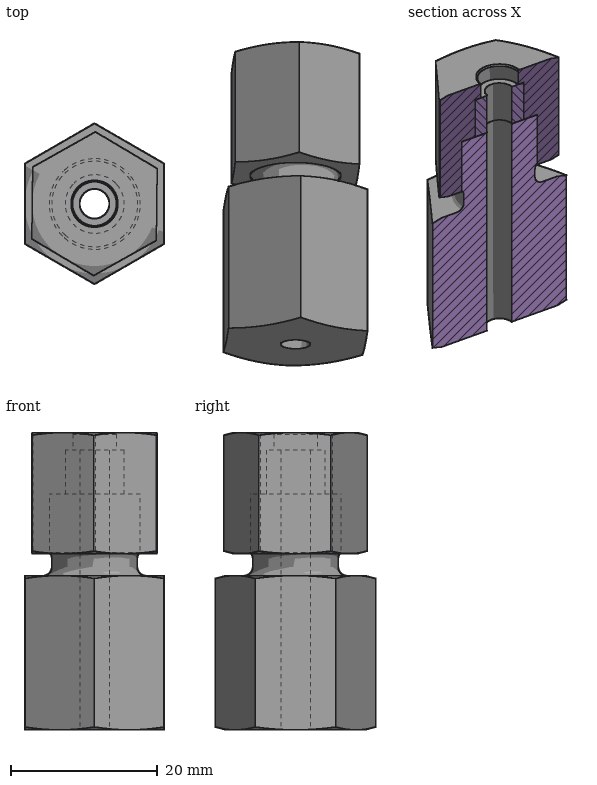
import cadquery as cq
import math

total_height = 40.5
body_hex_height = 21.0
nut_bottom = 24.0
body_hex_width = 19.0
nut_hex_width = 16.95
nut_turn = -0.7
corner_chamfer_angle = 15.0

neck_end_diameter = 12.4
groove_diameter = 11.7
groove_foot_diameter = 14.0
groove_radius = (groove_foot_diameter - groove_diameter) / 2
groove_straight_top = 23.35

through_diameter = 4.0
tube_diameter = 6.0
nut_mouth_diameter = 6.4

ferrule_diameter = 8.0
ferrule_top = 38.2
ferrule_height = 6.0
ferrule_bottom = ferrule_top - ferrule_height


def cylinder(diameter, bottom, top):
    return cq.Workplane("XY").workplane(offset=bottom).circle(diameter / 2).extrude(top - bottom)


def chamfered_hexagon(width, bottom, top):
    """Hexagon with corners on the Y axis, its corners turned off by a cone at both ends."""
    flat_radius = width / 2
    corner_radius = width / math.sqrt(3)
    drop = (corner_radius - flat_radius) * math.tan(math.radians(corner_chamfer_angle))
    hexagon = (
        cq.Workplane("XY")
        .workplane(offset=bottom)
        .polygon(6, 2 * corner_radius)
        .extrude(top - bottom)
        .rotate((0, 0, 0), (0, 0, 1), 30)
    )
    turned_blank = (
        cq.Workplane("XZ")
        .moveTo(0, bottom)
        .lineTo(flat_radius, bottom)
        .lineTo(corner_radius, bottom + drop)
        .lineTo(corner_radius, top - drop)
        .lineTo(flat_radius, top)
        .lineTo(0, top)
        .close()
        .revolve(360, (0, 0, 0), (0, 1, 0))
    )
    return hexagon.intersect(turned_blank)


def make_body():
    groove_floor = groove_diameter / 2
    end_radius = neck_end_diameter / 2
    shoulder_step = end_radius - groove_floor
    shoulder_rise = math.sqrt(groove_radius**2 - (groove_radius - shoulder_step) ** 2)
    neck = (
        cq.Workplane("XZ")
        .moveTo(0, body_hex_height)
        .lineTo(groove_foot_diameter / 2, body_hex_height)
        .radiusArc((groove_floor, body_hex_height + groove_radius), groove_radius)
        .lineTo(groove_floor, groove_straight_top)
        .radiusArc((end_radius, groove_straight_top + shoulder_rise), groove_radius)
        .lineTo(end_radius, ferrule_bottom)
        .lineTo(0, ferrule_bottom)
        .close()
        .revolve(360, (0, 0, 0), (0, 1, 0))
    )
    body = chamfered_hexagon(body_hex_width, 0, body_hex_height).union(neck)
    return body.cut(cylinder(through_diameter, 0, ferrule_bottom))


def make_ferrule():
    ring = cylinder(ferrule_diameter, ferrule_bottom, ferrule_top)
    return ring.cut(cylinder(through_diameter, ferrule_bottom, ferrule_top))


def make_nut():
    nut = chamfered_hexagon(nut_hex_width, nut_bottom, total_height)
    nut = nut.rotate((0, 0, 0), (0, 0, 1), nut_turn)
    nut = nut.cut(cylinder(neck_end_diameter, nut_bottom, ferrule_bottom))
    nut = nut.cut(cylinder(ferrule_diameter, ferrule_bottom, ferrule_top))
    nut = nut.cut(cylinder(tube_diameter, ferrule_top, total_height))
    mouth_depth = (nut_mouth_diameter - tube_diameter) / 2
    mouth = (
        cq.Workplane("XY")
        .workplane(offset=total_height - mouth_depth)
        .circle(tube_diameter / 2)
        .workplane(offset=mouth_depth)
        .circle(nut_mouth_diameter / 2)
        .loft()
    )
    return nut.cut(mouth)


body = make_body()
ferrule = make_ferrule()
nut = make_nut()
result = cq.Compound.makeCompound([body.val(), ferrule.val(), nut.val()])